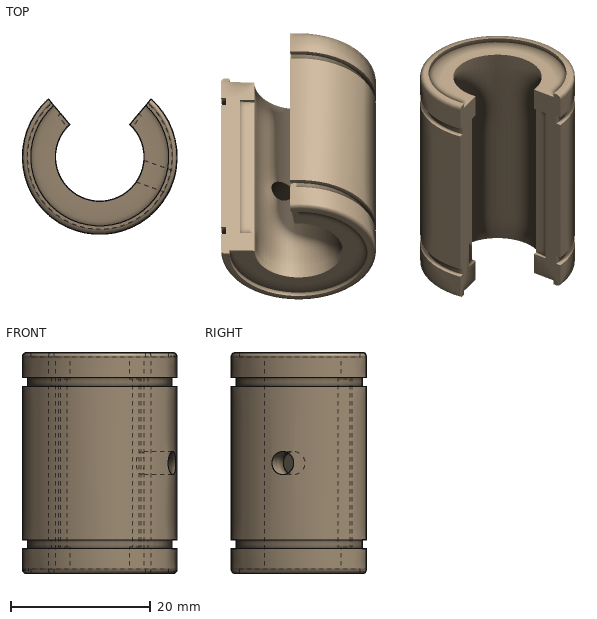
import cadquery as cq
import math

length = 31.75
outer_radius = 11.1
bore_radius = 6.35
edge_round = 0.65

cut_margin = 0.32

recess_radius = 9.9
recess_depth = 0.65

groove_radius = 10.38
groove_width = 1.27
groove_outer_offset = 3.6

opening_half_angle = 40.0
tip_y = 8.32

relief_radius = 8.4
relief_half_angle = 36.0
relief_apex_y = -2.22
relief_end_offset = 3.8

hole_radius = 1.65
hole_angle = -19.5


def sleeve():
    """Rounded tube with a recess in each end."""
    body = cq.Workplane("XY").circle(outer_radius).extrude(length)
    body = body.faces("<Z or >Z").edges().fillet(edge_round)
    recess = cq.Workplane("XY").circle(recess_radius).extrude(recess_depth)
    bore = cq.Workplane("XY").circle(bore_radius).extrude(length)
    upper_recess = recess.translate((0, 0, length - recess_depth))
    return body.cut(bore).cut(recess).cut(upper_recess)


def ring_groove(bottom):
    """Ring-shaped cutter for one groove."""
    return (
        cq.Workplane("XY", origin=(0, 0, bottom))
        .circle(outer_radius + cut_margin)
        .circle(groove_radius)
        .extrude(groove_width)
    )


def wedge(half_angle, apex_y):
    """Full-length wedge that widens toward +Y from an edge on the YZ plane."""
    far_y = 2 * outer_radius
    far_x = (far_y - apex_y) * math.tan(math.radians(half_angle))
    outline = [(0, apex_y), (far_x, far_y), (-far_x, far_y)]
    return cq.Workplane("XY").polyline(outline).close().extrude(length)


def opening():
    """Wedge that meets the sleeve's outer surface at tip_y."""
    tip_x = math.sqrt(outer_radius**2 - tip_y**2)
    apex_y = tip_y - tip_x / math.tan(math.radians(opening_half_angle))
    return wedge(opening_half_angle, apex_y)


def lip_relief():
    """Second wedge, kept to the inner part of the wall and closed at both ends."""
    core = (
        cq.Workplane("XY", origin=(0, 0, relief_end_offset))
        .circle(relief_radius)
        .extrude(length - 2 * relief_end_offset)
    )
    return wedge(relief_half_angle, relief_apex_y).intersect(core)


def radial_hole():
    """Round cutter from the axis outward through the +X wall at mid length."""
    angle = math.radians(hole_angle)
    direction = cq.Vector(math.cos(angle), math.sin(angle), 0)
    start = cq.Vector(0, 0, length / 2)
    cutter = cq.Solid.makeCylinder(hole_radius, outer_radius + cut_margin, start, direction)
    return cq.Workplane(cutter)


result = sleeve()
for groove_bottom in (groove_outer_offset, length - groove_outer_offset - groove_width):
    result = result.cut(ring_groove(groove_bottom))
result = result.cut(opening()).cut(lip_relief()).cut(radial_hole())